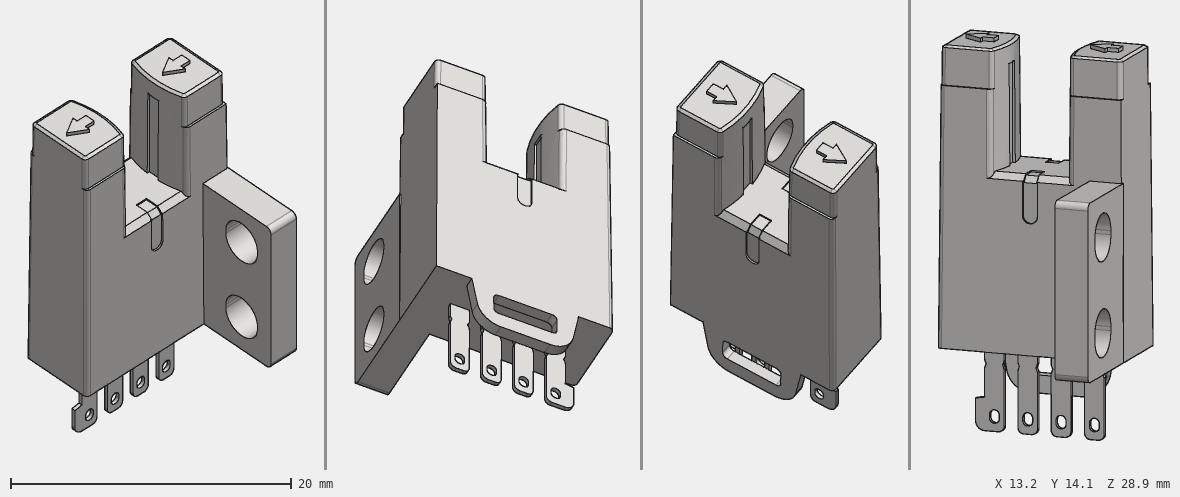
import cadquery as cq
import math


housing_x = 6.25
housing_y = 14.12
shoulder_z = 19.2
fork_top_z = 22.1
cap_step = 0.17
draft = 0.45
corner_radius = 0.35
top_bevel_height = 0.15
top_bevel_width = 0.25
mid_x = housing_x / 2

gap_floor_z = 13.17
gap_half_mid = 2.45
gap_half_end = 2.83
gap_inner_radius = 0.43
rim_inset = 0.58
rim_rise = 0.45
rim_bottom_z = gap_floor_z - rim_rise
saddle_half_y = 3.47

window_width = 1.1
window_depth = 0.23
window_top_z = 20.62

mark_face_width = 1.13
mark_floor_width = 1.0
mark_bottom_z = 9.65
mark_face_depth = 0.23
mark_floor_depth = 0.12
mark_reach = 1.7

arrow_height = 0.3
arrow_tips_y = (3.47, -6.05)
arrow_length = 2.3
arrow_head_length = 1.45
arrow_head_width = 1.7
arrow_shaft_width = 0.85

flange_end_x = 13.15
flange_height = 13.15
flange_thickness = 2.5
flange_corner = 0.5
flange_hole_x = 10.1
flange_hole_z = (3.05, 10.08)
flange_hole_width = 3.23
flange_hole_height = 3.52

bail_depth = 3.99
bail_half_top = 4.25
bail_half_bottom = 3.52
bail_radius = 1.88
bail_thickness_top = 0.8
bail_thickness_bottom = 0.87
bail_window_width = 5.03
bail_window_top = -0.78
bail_window_bottom = -2.65
bail_window_radius = 0.4

terminal_x = 3.03
terminal_thickness = 0.32
terminal_width = 1.5
terminal_pitch = 2.55
terminal_count = 4
terminal_row_y = -0.03
terminal_length = 6.5
terminal_radius = 0.45
eyelet_z = -5.4
eyelet_width = 0.75
eyelet_height = 0.98
nick_z = -1.6
nick_height = 0.64
nick_depth = 0.12
foot_top_z = -4.05
foot_drop = 0.12
foot_reach = 0.7
foot_radius = 0.72

overlap = 0.3


def tapered_block(size_x, size_y, height):
    """Block standing on Z = 0, centred on the housing, narrowing upwards by the draft angle."""
    return (
        cq.Workplane("XY")
        .center(mid_x, 0)
        .rect(size_x, size_y)
        .extrude(height, taper=draft)
    )


def slab(block, low, high):
    """Part of a block between two heights."""
    span = 4 * housing_y
    keep = cq.Workplane("XY", origin=(0, 0, low)).box(span, span, high - low, centered=(True, True, False))
    return block.intersect(keep)


def gap_cutter():
    """Space between the arms: bulging walls that open upwards by the draft angle."""
    half_chord = mid_x - rim_inset
    sagitta = gap_half_end - gap_half_mid
    bulge_radius = (half_chord**2 + sagitta**2) / (2 * sagitta)
    half_span = mid_x + overlap
    end_y = gap_half_mid + bulge_radius - math.sqrt(bulge_radius**2 - half_span**2)
    return (
        cq.Workplane("XY", origin=(mid_x, 0, rim_bottom_z))
        .moveTo(-half_span, -end_y)
        .threePointArc((0, -gap_half_mid), (half_span, -end_y))
        .lineTo(half_span, end_y)
        .threePointArc((0, gap_half_mid), (-half_span, end_y))
        .close()
        .extrude(fork_top_z, taper=-draft)
    )


def upright_edges(body, low, high, half_y):
    """Edges whose middle lies clearly between two heights and within half_y of the mid plane."""
    return body.edges(
        cq.selectors.BoxSelector(
            (-overlap, -half_y, low + overlap),
            (housing_x + overlap, half_y, high - overlap),
        )
    )


def saddle():
    """Gap floor, sloping down to the wide faces at both ends."""
    face_x = rim_bottom_z * math.tan(math.radians(draft))
    return (
        cq.Workplane("XZ")
        .moveTo(face_x, rim_bottom_z)
        .lineTo(rim_inset, gap_floor_z)
        .lineTo(housing_x - rim_inset, gap_floor_z)
        .lineTo(housing_x - face_x, rim_bottom_z)
        .close()
        .extrude(saddle_half_y, both=True)
    )


def face_mark_cutter():
    """Shallow round-ended recess down the X = 0 face."""
    half = mark_face_width / 2
    return (
        cq.Workplane("YZ", origin=(-overlap, 0, 0))
        .moveTo(half, rim_bottom_z)
        .lineTo(half, mark_bottom_z + half)
        .threePointArc((0, mark_bottom_z), (-half, mark_bottom_z + half))
        .lineTo(-half, rim_bottom_z)
        .close()
        .extrude(overlap + mark_face_depth)
    )


def floor_mark_cutter():
    """Shallow recess up the sloping rim and along the gap floor."""
    floor_z = gap_floor_z - mark_floor_depth
    return (
        cq.Workplane("XZ")
        .moveTo(-overlap, rim_bottom_z - mark_floor_depth)
        .lineTo(mark_face_depth, rim_bottom_z - mark_floor_depth)
        .lineTo(rim_inset + mark_floor_depth / 2, floor_z)
        .lineTo(mark_reach, floor_z)
        .lineTo(mark_reach, gap_floor_z + overlap)
        .lineTo(-overlap, gap_floor_z + overlap)
        .close()
        .extrude(mark_floor_width / 2, both=True)
    )


def opposite(shape):
    """The same shape on the other wide face of the housing."""
    return shape.mirror("YZ", (mid_x, 0, 0))


def window_cutter():
    """Both optical windows, from the gap floor up, in one box across the gap."""
    return cq.Workplane("XY", origin=(mid_x, 0, gap_floor_z)).box(
        window_width,
        2 * (gap_half_mid + window_depth),
        window_top_z - gap_floor_z,
        centered=(True, True, False),
    )


def forked_housing():
    base = slab(tapered_block(housing_x, housing_y, fork_top_z), 0, shoulder_z)
    base = base.edges("not #Z").edges("<Y").fillet(corner_radius).cut(gap_cutter())
    base = upright_edges(base, rim_bottom_z, shoulder_z, saddle_half_y).fillet(gap_inner_radius)

    cap = tapered_block(housing_x - 2 * cap_step, housing_y, fork_top_z)
    cap = slab(cap.cut(gap_cutter()), shoulder_z, fork_top_z)
    cap = upright_edges(cap, shoulder_z, fork_top_z, housing_y).fillet(corner_radius)
    cap = cap.faces(">Z").chamfer(top_bevel_width, top_bevel_height)

    body = base.union(cap).union(saddle())
    for cutter in (face_mark_cutter(), floor_mark_cutter()):
        body = body.cut(cutter).cut(opposite(cutter))
    return body.cut(window_cutter())


def arrow(tip_y):
    """Arrow pointing towards -Y on top of an arm."""
    neck_y = tip_y + arrow_head_length
    tail_y = tip_y + arrow_length
    half_head = arrow_head_width / 2
    half_shaft = arrow_shaft_width / 2
    return (
        cq.Workplane("XY", origin=(mid_x, 0, fork_top_z - overlap))
        .polyline(
            [
                (0, tip_y),
                (half_head, neck_y),
                (half_shaft, neck_y),
                (half_shaft, tail_y),
                (-half_shaft, tail_y),
                (-half_shaft, neck_y),
                (-half_head, neck_y),
            ]
        )
        .close()
        .extrude(arrow_height + overlap)
    )


def flange():
    """Plate on the +X side of the housing, flush with its +Y foot."""
    start_x = housing_x - overlap
    length = flange_end_x - start_x
    plate = (
        cq.Workplane("XY", origin=(start_x, housing_y / 2 - flange_thickness, 0))
        .box(length, flange_thickness, flange_height, centered=False)
        .edges("|Y and >X")
        .fillet(flange_corner)
    )
    holes = (
        cq.Workplane("XZ")
        .pushPoints([(flange_hole_x, z) for z in flange_hole_z])
        .slot2D(flange_hole_height, flange_hole_width, 90)
        .extrude(-housing_y)
    )
    return plate.cut(holes)


def bail():
    """Loop hanging from the X = 0 face, whose draft it carries on downwards."""
    slope = math.tan(math.radians(draft))
    section = (
        cq.Workplane("XZ")
        .polyline(
            [
                (overlap * slope, overlap),
                (-bail_depth * slope, -bail_depth),
                (bail_thickness_bottom, -bail_depth),
                (bail_thickness_top, 0),
                (bail_thickness_top, overlap),
            ]
        )
        .close()
        .extrude(housing_y / 2, both=True)
    )
    outline = (
        cq.Workplane("YZ", origin=(-overlap, 0, 0))
        .polyline(
            [
                (bail_half_top, 0),
                (bail_half_bottom, -bail_depth),
                (-bail_half_bottom, -bail_depth),
                (-bail_half_top, 0),
            ]
        )
        .close()
        .extrude(mid_x)
        .edges("|X and <Z")
        .fillet(bail_radius)
    )
    window = (
        cq.Workplane("YZ", origin=(-overlap, 0, 0))
        .center(0, (bail_window_top + bail_window_bottom) / 2)
        .rect(bail_window_width, bail_window_top - bail_window_bottom)
        .extrude(mid_x)
        .edges("|X")
        .fillet(bail_window_radius)
    )
    return section.intersect(outline).cut(window)


def terminal_plane(y):
    """Sketch plane on the outer face of the terminal at the given Y."""
    return cq.Workplane("YZ", origin=(terminal_x - terminal_thickness / 2, y, 0))


def terminal(y, has_foot):
    """Flat solder terminal with an eyelet; the foot widens its end towards -Y."""
    half = terminal_width / 2
    blade = (
        terminal_plane(y)
        .center(0, (overlap - terminal_length) / 2)
        .rect(terminal_width, terminal_length + overlap)
        .extrude(terminal_thickness)
    )
    for side in (-1, 1):
        nick = (
            terminal_plane(y)
            .moveTo(side * half, nick_z - nick_height / 2)
            .lineTo(side * (half - nick_depth), nick_z)
            .lineTo(side * half, nick_z + nick_height / 2)
            .close()
            .extrude(terminal_thickness)
        )
        blade = blade.cut(nick)
    if has_foot:
        foot = (
            terminal_plane(y)
            .moveTo(0, foot_top_z)
            .lineTo(-half, foot_top_z)
            .lineTo(-half - foot_reach, foot_top_z - foot_drop)
            .lineTo(-half - foot_reach, -terminal_length)
            .lineTo(0, -terminal_length)
            .close()
            .extrude(terminal_thickness)
        )
        blade = blade.union(foot).clean()
    blade = blade.edges("|X and <Z").edges(">Y").fillet(terminal_radius)
    blade = blade.edges("|X and <Y").edges("<Z").fillet(foot_radius if has_foot else terminal_radius)
    eyelet = (
        terminal_plane(y)
        .center(0, eyelet_z)
        .slot2D(eyelet_height, eyelet_width, 90)
        .extrude(terminal_thickness)
    )
    return blade.cut(eyelet)


result = forked_housing()
for tip in arrow_tips_y:
    result = result.union(arrow(tip))
result = result.union(flange()).union(bail())
for index in range(terminal_count):
    terminal_y = terminal_row_y + ((terminal_count - 1) / 2 - index) * terminal_pitch
    result = result.union(terminal(terminal_y, has_foot=index == terminal_count - 1))